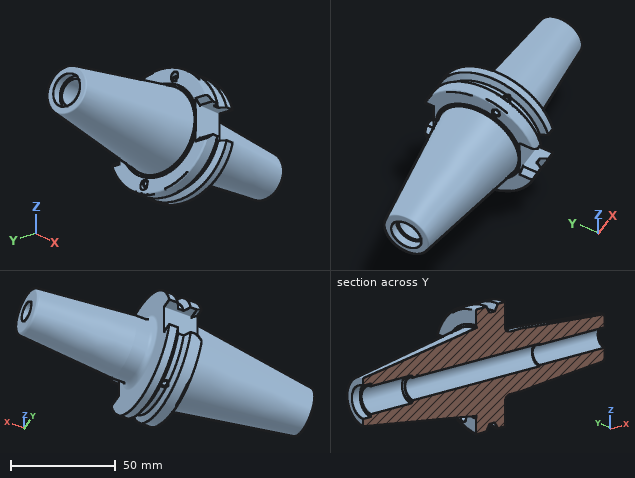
import cadquery as cq
import math

total_length = 148.2
gauge_x = 68.2
flange_front_x = 69.2
flange_back_x = 87.3
nose_cone_x = 97.4

gauge_radius = 22.2
taper_ratio = 7 / 24
shank_end_radius = gauge_radius - gauge_x * taper_ratio / 2
shank_end_fillet = 0.7

flange_radius = 31.7
flange_fillet = 0.9
relief_radius = 23.5
collar_x = 68.8
collar_radius = 22.4
relief_depth = 0.6

groove_x = 79.3
groove_radius = 28.3
groove_floor_width = 3.0
groove_flank_angle = 30.0

neck_radius = 16.0
neck_fillet = 3.0
nose_end_radius = 12.0
nose_end_fillet = 1.3

bore_radius = 5.0
bore_start_x = 108.2
clearance_radius = 5.6
thread_radius = 7.0
thread_end_x = 29.6
thread_cone_radius = 6.1
mouth_radius = 8.3
mouth_depth = 4.9

slot_width = 16.9
slot_floor_front = 22.5
slot_floor_back = 24.8
slot_floor_fillet = 0.5
slot_overrun = 1.5
slot_lead_in_length = 3.3
slot_lead_in_width = 2.7

coolant_angle = 20.4
coolant_mouth_radius = 27.1
coolant_slope = 33.0
coolant_diameter = 3.0
coolant_mouth_diameter = 4.2
coolant_mouth_depth = 1.5
plug_diameter = 3.0
plug_mouth_diameter = 3.7
plug_mouth_depth = 1.0


def make_body():
    """Shank, flange, neck and nose as one turned solid."""
    flank_run = (flange_radius - groove_radius) * math.tan(math.radians(groove_flank_angle))
    floor_start = groove_x - groove_floor_width / 2
    floor_end = groove_x + groove_floor_width / 2
    return (
        cq.Workplane("XY")
        .moveTo(0, 0)
        .lineTo(0, shank_end_radius)
        .lineTo(gauge_x, gauge_radius)
        .lineTo(collar_x, gauge_radius)
        .lineTo(collar_x, collar_radius)
        .lineTo(flange_front_x + relief_depth, collar_radius)
        .lineTo(flange_front_x, relief_radius)
        .lineTo(flange_front_x, flange_radius - flange_fillet)
        .radiusArc((flange_front_x + flange_fillet, flange_radius), flange_fillet)
        .lineTo(floor_start - flank_run, flange_radius)
        .lineTo(floor_start, groove_radius)
        .lineTo(floor_end, groove_radius)
        .lineTo(floor_end + flank_run, flange_radius)
        .lineTo(flange_back_x, flange_radius)
        .lineTo(flange_back_x, neck_radius + neck_fillet)
        .radiusArc((flange_back_x + neck_fillet, neck_radius), -neck_fillet)
        .lineTo(nose_cone_x, neck_radius)
        .lineTo(total_length, nose_end_radius)
        .lineTo(total_length, 0)
        .close()
        .revolve(360, (0, 0, 0), (1, 0, 0))
        .faces(">X")
        .edges()
        .fillet(nose_end_fillet)
        .faces("<X")
        .edges()
        .fillet(shank_end_fillet)
    )


def make_bore():
    """Stepped through bore: mouth, threaded length with a cone end, clearance, tool bore."""
    cone_end_x = thread_end_x + thread_radius - thread_cone_radius
    return (
        cq.Workplane("XY")
        .moveTo(0, 0)
        .lineTo(0, mouth_radius)
        .lineTo(mouth_depth, mouth_radius)
        .lineTo(mouth_depth, thread_radius)
        .lineTo(thread_end_x, thread_radius)
        .lineTo(cone_end_x, thread_cone_radius)
        .lineTo(cone_end_x, clearance_radius)
        .lineTo(bore_start_x, clearance_radius)
        .lineTo(bore_start_x, bore_radius)
        .lineTo(total_length, bore_radius)
        .lineTo(total_length, 0)
        .close()
        .revolve(360, (0, 0, 0), (1, 0, 0))
    )


def make_slot(side, floor_distance):
    """Cutter for the drive slot on the +Y (side=1) or -Y (side=-1) side, widened at the front."""
    cut_depth = flange_radius + slot_overrun - floor_distance
    start_y = side * floor_distance
    half_width = slot_width / 2
    channel = (
        cq.Workplane("XZ", origin=(0, start_y, 0))
        .moveTo(flange_front_x, -half_width)
        .lineTo(flange_back_x, -half_width)
        .lineTo(flange_back_x, half_width)
        .lineTo(flange_front_x, half_width)
        .close()
        .extrude(-side * cut_depth)
        .faces("<Y" if side > 0 else ">Y")
        .edges("|X")
        .fillet(slot_floor_fillet)
    )
    lead_in = (
        cq.Workplane("XZ", origin=(0, start_y, 0))
        .moveTo(flange_front_x, -half_width - slot_lead_in_width)
        .lineTo(flange_front_x + slot_lead_in_length, -half_width)
        .lineTo(flange_front_x + slot_lead_in_length, half_width)
        .lineTo(flange_front_x, half_width + slot_lead_in_width)
        .close()
        .extrude(-side * cut_depth)
    )
    return channel.union(lead_in)


def make_coolant_hole():
    """Stepped drilling sloping in from the flange face, met by a stepped radial hole from the groove."""
    slope = math.radians(coolant_slope)
    inward = cq.Vector(math.cos(slope), 0, -math.sin(slope))
    mouth = cq.Vector(flange_front_x, 0, coolant_mouth_radius)
    drilling_length = (groove_x - flange_front_x) / math.cos(slope)
    meeting = mouth + inward * drilling_length
    overrun = coolant_mouth_diameter

    drilling = cq.Solid.makeCylinder(coolant_diameter / 2, drilling_length, mouth, inward)
    drilling_mouth = cq.Solid.makeCylinder(
        coolant_mouth_diameter / 2, overrun + coolant_mouth_depth, mouth - inward * overrun, inward
    )

    outward = cq.Vector(0, 0, 1)
    plug_step = cq.Vector(groove_x, 0, groove_radius - plug_mouth_depth)
    plug_hole = cq.Solid.makeCylinder(plug_diameter / 2, flange_radius - meeting.z, meeting, outward)
    plug_mouth = cq.Solid.makeCylinder(
        plug_mouth_diameter / 2, flange_radius - plug_step.z, plug_step, outward
    )
    hole = cq.Workplane(obj=drilling)
    for piece in (drilling_mouth, plug_hole, plug_mouth):
        hole = hole.union(cq.Workplane(obj=piece))
    return hole


result = make_body().cut(make_bore())
result = result.cut(make_slot(-1, slot_floor_front)).cut(make_slot(1, slot_floor_back))
for turn in (coolant_angle, coolant_angle + 180):
    result = result.cut(make_coolant_hole().rotate((0, 0, 0), (1, 0, 0), turn))